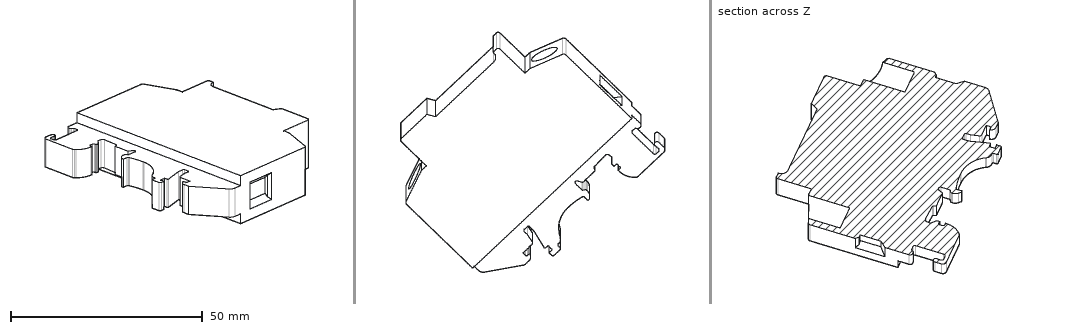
import cadquery as cq
import math

LENGTH = 58.4
HEIGHT = 51.5
BODY_THICKNESS = 13.8
FOOT_THICKNESS = 8.1
MID_X = LENGTH / 2
FOOT_TOP = 13.1

HEAD_HALF_WIDTH = 18.1
SHOULDER_HALF_WIDTH = 19.9
SHOULDER_Y = 41.55
SIDE_TOP_Y = 38.15
SIDE_CORNER_RADIUS = 0.75
HEAD_CORNER_RADIUS = 0.65

RECESS_DEPTH = 2.05
RECESS_LEFT = 13.0
RECESS_RIGHT = 36.1
RECESS_RIGHT_TOP = 37.25
RECESS_RADIUS = 1.8

SCREW_HOLE_DIAMETER = 6.9
SCREW_HOLE_INSET = 5.4
SCREW_HOLE_FLOOR_Y = 30.0

WIRE_MOUTH_BOTTOM = 16.7
WIRE_MOUTH_TOP = 25.0
WIRE_MOUTH_WIDTH = 7.7
WIRE_DEPTH = 1.55
WIRE_STRAIGHT_START = 0.8
WIRE_WALL_RISE = 1.0
WIRE_LOWER_WALL_RISE = 1.13

HOOK_SLOT_LEFT = 1.5
HOOK_SLOT_RIGHT = 3.4
HOOK_SLOT_TOP = 9.95
HOOK_SLOT_FLOOR = 1.1
LEG_RIGHT = 13.15
LEG_NOTCH_LEFT = 12.2
LEG_NOTCH_BOTTOM = 4.85
LEG_NOTCH_TOP = 6.37
RAIL_GAP_TOP = 8.97
RELIEF_RIGHT = 23.65
RELIEF_TOP = 10.47
CLAW_LEFT = 22.85
CLAW_RIGHT = 24.6
CLAW_BOTTOM = 4.5
SADDLE_CREST = 6.77
LATCH_LEFT = 38.85
LATCH_RIGHT = 41.9
LATCH_STEP = 1.45
LATCH_NOTCH_LEFT = 40.7
LATCH_NOTCH_TOP = 3.0
SLIT_LEFT = 40.52
SLIT_RIGHT = 42.4
SLIT_TOP = 10.5
POCKET_TOP = 6.17
POCKET_RIGHT = 46.75
TOE_LEFT = 45.75
TOE_TOP = 4.9
TOE_BOTTOM = 3.55


def rounded_prism(corners, thickness):
    """Prism centred on Z = 0 from (x, y, radius) corners; radius 0 keeps a corner sharp."""
    points = []
    for index, (x, y, radius) in enumerate(corners):
        before = corners[index - 1]
        after = corners[(index + 1) % len(corners)]
        if radius == 0:
            points.append(((x, y), None, None))
            continue
        to_before = (cq.Vector(before[0], before[1]) - cq.Vector(x, y)).normalized()
        to_after = (cq.Vector(after[0], after[1]) - cq.Vector(x, y)).normalized()
        half_angle = to_before.getAngle(to_after) / 2
        tangent_length = radius / math.tan(half_angle)
        arc_gap = radius / math.sin(half_angle) - radius
        corner = cq.Vector(x, y)
        start = corner + to_before * tangent_length
        middle = corner + (to_before + to_after).normalized() * arc_gap
        end = corner + to_after * tangent_length
        points.append(tuple(point.toTuple()[:2] for point in (start, middle, end)))

    first_start, first_middle, first_end = points[0]
    outline = cq.Workplane("XY").moveTo(*(first_end or first_start))
    for start, middle, end in points[1:]:
        outline = outline.lineTo(*start)
        if middle:
            outline = outline.threePointArc(middle, end)
    if first_middle:
        outline = outline.lineTo(*first_start).threePointArc(first_middle, first_end)
    return outline.close().extrude(thickness / 2, both=True)


def make_body():
    head_left = MID_X - HEAD_HALF_WIDTH
    head_right = MID_X + HEAD_HALF_WIDTH
    recess_floor = HEIGHT - RECESS_DEPTH
    corners = [
        (0, FOOT_TOP, 0),
        (0, SIDE_TOP_Y, SIDE_CORNER_RADIUS),
        (MID_X - SHOULDER_HALF_WIDTH, SHOULDER_Y, 0),
        (head_left, SHOULDER_Y, 0),
        (head_left, HEIGHT, HEAD_CORNER_RADIUS),
        (RECESS_LEFT, HEIGHT, 0),
        (RECESS_LEFT, recess_floor, RECESS_RADIUS),
        (RECESS_RIGHT, recess_floor, 0),
        (RECESS_RIGHT_TOP, HEIGHT, 0),
        (head_right, HEIGHT, HEAD_CORNER_RADIUS),
        (head_right, SHOULDER_Y, 0),
        (MID_X + SHOULDER_HALF_WIDTH, SHOULDER_Y, 0),
        (LENGTH, SIDE_TOP_Y, SIDE_CORNER_RADIUS),
        (LENGTH, FOOT_TOP, 0),
    ]
    return rounded_prism(corners, BODY_THICKNESS)


def make_foot():
    release_hook = [
        (0, 9.2, 0.75),
        (1.45, 9.2, 0.3),
        (1.85, HOOK_SLOT_TOP, 0.25),
        (HOOK_SLOT_RIGHT, HOOK_SLOT_TOP, 0.5),
        (HOOK_SLOT_RIGHT, HOOK_SLOT_FLOOR, 0.5),
        (HOOK_SLOT_LEFT, HOOK_SLOT_FLOOR, 0.5),
        (HOOK_SLOT_LEFT, 2.4, 0),
        (1.8, 3.52, 0.65),
        (0.2, 3.52, 0.7),
        (0.2, 0, 1.0),
    ]
    left_leg = [
        (11.0, 0, 0.7),
        (LEG_RIGHT, 2.05, 5.5),
        (LEG_RIGHT, LEG_NOTCH_BOTTOM, 0),
        (LEG_NOTCH_LEFT, LEG_NOTCH_BOTTOM, 0.3),
        (LEG_NOTCH_LEFT, LEG_NOTCH_TOP, 0.3),
        (LEG_RIGHT, LEG_NOTCH_TOP, 0),
        (LEG_RIGHT, 7.25, 0.15),
        (11.8, 8.5, 0.5),
        (12.0, 10.15, 0.7),
    ]
    rail_gap = [
        (17.15, 9.9, 0.35),
        (17.5, RAIL_GAP_TOP, 0),
        (22.1, RAIL_GAP_TOP, 0),
        (22.85, RELIEF_TOP, 0.4),
        (RELIEF_RIGHT, RELIEF_TOP, 0.4),
    ]
    claw = [
        (RELIEF_RIGHT, 7.5, 0.2),
        (CLAW_LEFT, 7.05, 0.3),
        (CLAW_LEFT, 5.65, 2.0),
        (24.0, CLAW_BOTTOM, 0),
        (CLAW_RIGHT, CLAW_BOTTOM, 0),
    ]
    saddle = [
        (CLAW_RIGHT, 6.15, 0.4),
        (27.3, SADDLE_CREST, 19.0),
        (34.55, SADDLE_CREST, 7.9),
        (37.35, LATCH_STEP, 1.7),
    ]
    latch = [
        (LATCH_LEFT, LATCH_STEP, 0.3),
        (LATCH_LEFT, 0, 0.35),
        (LATCH_RIGHT, 0, 0.45),
        (LATCH_RIGHT, LATCH_STEP, 0),
        (LATCH_NOTCH_LEFT, LATCH_STEP, 0),
        (LATCH_NOTCH_LEFT, LATCH_NOTCH_TOP, 0),
        (LATCH_RIGHT, LATCH_NOTCH_TOP, 0.25),
    ]
    flex_slit = [
        (SLIT_LEFT, 8.5, 0),
        (SLIT_LEFT, SLIT_TOP, 0.35),
        (SLIT_RIGHT, SLIT_TOP, 0.35),
        (SLIT_RIGHT, 9.0, 0),
    ]
    right_toe = [
        (43.0, POCKET_TOP, 0.5),
        (POCKET_RIGHT, POCKET_TOP, 0),
        (POCKET_RIGHT, TOE_TOP, 0.3),
        (TOE_LEFT, TOE_TOP, 0),
        (TOE_LEFT, TOE_BOTTOM, 1.33),
        (48.8, TOE_BOTTOM, 0),
        (LENGTH, 10.0, 1.8),
    ]
    corners = [(0, FOOT_TOP, 0)]
    for section in (release_hook, left_leg, rail_gap, claw, saddle, latch, flex_slit, right_toe):
        corners += section
    corners.append((LENGTH, FOOT_TOP, 0))
    return rounded_prism(corners, FOOT_THICKNESS)


def make_screw_hole():
    bore_plane = cq.Workplane("XZ", origin=(SCREW_HOLE_INSET, HEIGHT, 0))
    return bore_plane.circle(SCREW_HOLE_DIAMETER / 2).extrude(HEIGHT - SCREW_HOLE_FLOOR_Y)


def wire_funnel_section(depth):
    """Rectangle of the funnel cavity at a depth below the -X side."""
    top = WIRE_MOUTH_TOP - WIRE_WALL_RISE * min(depth, WIRE_STRAIGHT_START)
    bottom = WIRE_MOUTH_BOTTOM + WIRE_LOWER_WALL_RISE * depth
    width = WIRE_MOUTH_WIDTH - 2 * WIRE_WALL_RISE * depth
    plane = cq.Workplane("YZ", origin=(depth, (top + bottom) / 2, 0))
    return plane.rect(top - bottom, width).wires().val()


def make_wire_funnel():
    depths = (0, WIRE_STRAIGHT_START, WIRE_DEPTH)
    sections = [wire_funnel_section(depth) for depth in depths]
    return cq.Workplane(cq.Solid.makeLoft(sections, True))


result = make_body().union(make_foot())
for cutter in (make_screw_hole(), make_wire_funnel()):
    result = result.cut(cutter)
    result = result.cut(cutter.mirror("YZ", (MID_X, 0, 0)))